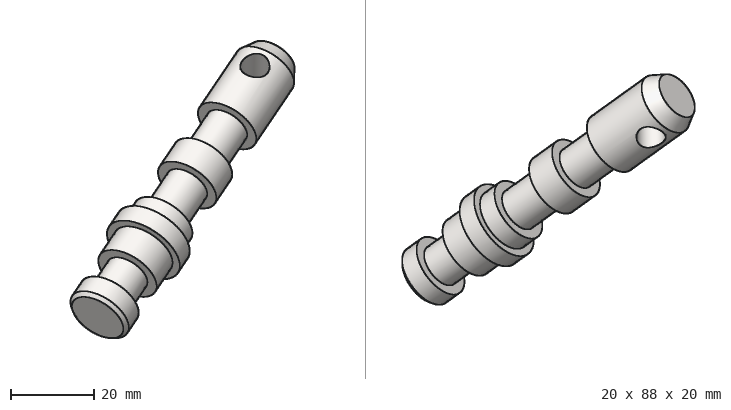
import cadquery as cq

total_length = 88.0
body_diameter = 16.0
neck_diameter = 11.0
flange_diameter = 20.0

head_length = 6.0
head_neck_length = 9.0
front_shoulder_length = 8.0
flange_length = 5.0
rear_shoulder_length = 5.0
groove_length = 12.0
collar_length = 8.0
tail_neck_length = 12.1

head_chamfer = 1.0
tip_diameter = 12.0
tip_taper_length = 4.0

hole_diameter = 7.0
hole_distance_from_tip = 9.0

leading_sections = [
    (head_length, body_diameter),
    (head_neck_length, neck_diameter),
    (front_shoulder_length, body_diameter),
    (flange_length, flange_diameter),
    (rear_shoulder_length, body_diameter),
    (groove_length, neck_diameter),
    (collar_length, body_diameter),
    (tail_neck_length, neck_diameter),
]
tail_length = total_length - sum(length for length, _ in leading_sections)
sections = leading_sections + [(tail_length, body_diameter)]


def stepped_pin():
    """Revolve the half profile of all sections about the Y axis."""
    profile = cq.Workplane("XY").moveTo(0, 0)
    profile = profile.lineTo(body_diameter / 2 - head_chamfer, 0)
    profile = profile.lineTo(body_diameter / 2, head_chamfer)
    position = 0
    for (length, diameter), (_, next_diameter) in zip(sections, sections[1:]):
        position += length
        profile = profile.lineTo(diameter / 2, position)
        profile = profile.lineTo(next_diameter / 2, position)
    profile = profile.lineTo(body_diameter / 2, total_length - tip_taper_length)
    profile = profile.lineTo(tip_diameter / 2, total_length)
    profile = profile.lineTo(0, total_length).close()
    return profile.revolve(360, (0, 0, 0), (0, 1, 0))


def cross_hole():
    """Vertical cutter passing right through the tail."""
    return (
        cq.Workplane("XY")
        .center(0, total_length - hole_distance_from_tip)
        .circle(hole_diameter / 2)
        .extrude(body_diameter, both=True)
    )


result = stepped_pin().cut(cross_hole())